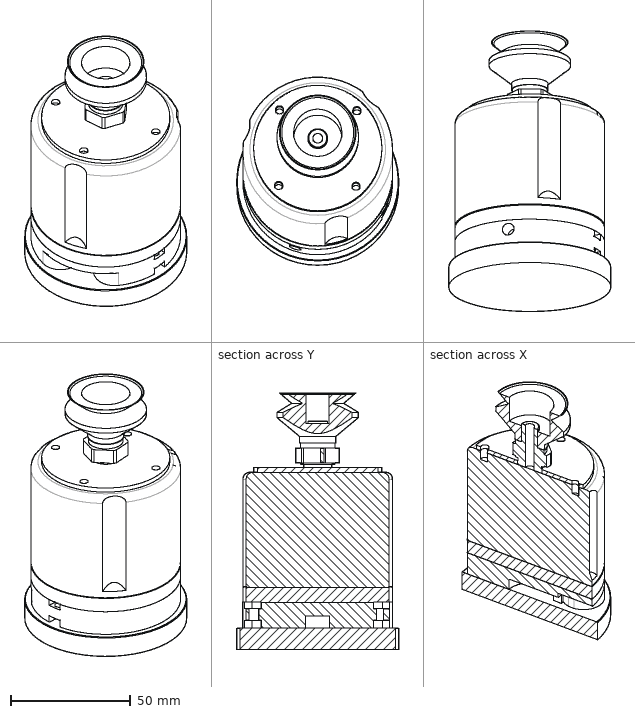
import cadquery as cq
import math

body_radius = 31.4
clocking = -1.6
front_angle = clocking - 90

base_top = 9.1
lower_body_top = 19.9
ring_top = 26.2
housing_top = 74.4
cap_top = 76.3
edge_break = 0.3

base_radius = 34.0

window_top = 16.1
hub_radius = 14.3
boss_radius = 8.9
boss_circle_radius = body_radius - boss_radius
boss_half_angle = 33.4
core_bore_radius = 10.2
core_bore_top = 14.1
channel_width = 7.1

screw_slot_width = 6.1
screw_hole_dia = 4.0
screw_circle_radius = 28.2
screw_half_angle = 70
screw_flange_bottom = 12.3
screw_flange_top = 17.2

side_port_dia = 5.0
side_port_height = 15.9
side_port_depth = 8.6
side_port_angle = front_angle - 152

housing_fillet = 3.0
groove_count = 3
groove_radius = 11.3
groove_axis_radius = 41.2
groove_bottom = 29.5
groove_end_rise = 3.5

cap_radius = 26.9
cap_hole_count = 4
cap_hole_dia = 3.4
cap_hole_circle_radius = 22.9
cap_hole_depth = 6.5

stem_radius = 5.9
collar_radius = 7.3
collar_bottom = 77.6
collar_rounding = 0.5
hex_bottom = 78.3
hex_top = 84.4
hex_across_flats = 16.8
hex_corner_dia = 18.7
hex_angle = clocking - 12
neck_top = 86.6
tube_dia = 8.3
tube_radius = tube_dia / 2
tube_chamfer = 0.38
tube_protrusion = 1.1
fitting_bore_dia = 4.1

cup_top = 107.5
cup_neck_radius = 7.6
cup_neck_top = 89.3
bellows_radius = 17.1
bellows_bottom = 97.2
bellows_top = 99.4
waist_radius = 11.0
waist_height = 103.2
lip_radius = 16.0
lip_inner_radius = 15.7
mouth_radius = 15.0
mouth_height = 107.0
cup_bore_radius = 10.1
cup_floor = 94.8


def disc(radius, bottom, top):
    """Solid cylinder on the Z axis between two heights."""
    return cq.Workplane("XY").workplane(offset=bottom).circle(radius).extrude(top - bottom)


def post(distance, angle, dia, bottom, top):
    """Vertical cylinder standing at a polar position."""
    cylinder = cq.Workplane("XY").workplane(offset=bottom).center(distance, 0).circle(dia / 2)
    return cylinder.extrude(top - bottom).rotate((0, 0, 0), (0, 0, 1), angle)


def radial_bar(width, length, angle, bottom, top):
    """Rectangular bar running outward from the Z axis."""
    bar = cq.Workplane("XY").workplane(offset=bottom).center(length / 2, 0).rect(length, width)
    return bar.extrude(top - bottom).rotate((0, 0, 0), (0, 0, 1), angle)


def make_base_plate():
    return disc(base_radius, 0, base_top).faces(">Z").edges().chamfer(edge_break)


def access_window():
    """Wedge between the hub and the outer wall, closed on each side by a round boss."""
    reach = 2 * body_radius
    boss_angle = math.radians(boss_half_angle)
    far_x = reach * math.cos(boss_angle)
    far_y = reach * math.sin(boss_angle)
    wedge = cq.Workplane("XY").workplane(offset=base_top)
    wedge = wedge.polyline([(0, 0), (far_x, -far_y), (far_x, far_y)]).close()
    wedge = wedge.extrude(window_top - base_top).cut(disc(hub_radius, base_top, window_top))
    for side in (-1, 1):
        boss = post(boss_circle_radius, side * boss_half_angle, 2 * boss_radius, base_top, window_top)
        wedge = wedge.cut(boss)
    return wedge.rotate((0, 0, 0), (0, 0, 1), front_angle)


def screw_slot(angle, bottom, top):
    """Round-ended slot, open to the outer wall, that gives room for a screw."""
    outer_length = 2 * body_radius
    slot = radial_bar(screw_slot_width, outer_length, angle, bottom, top)
    slot = slot.cut(disc(screw_circle_radius, bottom, top))
    return slot.union(post(screw_circle_radius, angle, screw_slot_width, bottom, top))


def side_port():
    port = cq.Workplane("YZ").workplane(offset=body_radius - side_port_depth)
    port = port.center(0, side_port_height).circle(side_port_dia / 2).extrude(2 * side_port_depth)
    return port.rotate((0, 0, 0), (0, 0, 1), side_port_angle)


def make_lower_body():
    body = disc(body_radius, base_top, lower_body_top)
    body = body.cut(access_window())
    body = body.cut(disc(core_bore_radius, base_top, core_bore_top))
    body = body.cut(radial_bar(channel_width, body_radius, front_angle, base_top, core_bore_top))
    for side in (-1, 1):
        angle = front_angle + side * screw_half_angle
        body = body.cut(screw_slot(angle, base_top, screw_flange_bottom))
        body = body.cut(screw_slot(angle, screw_flange_top, lower_body_top))
        body = body.cut(post(screw_circle_radius, angle, screw_hole_dia, base_top, lower_body_top))
    return body.cut(side_port())


def make_ring():
    return disc(body_radius, lower_body_top, ring_top)


def cap_holes():
    holes = cq.Workplane("XY").workplane(offset=cap_top - cap_hole_depth)
    holes = holes.polarArray(cap_hole_circle_radius, clocking, 360, cap_hole_count)
    return holes.circle(cap_hole_dia / 2).extrude(cap_hole_depth)


def groove_cutters():
    """Vertical scallops whose lower ends slope down to the outer wall."""
    cutter = post(groove_axis_radius, 0, 2 * groove_radius, groove_bottom, housing_top)
    groove_floor_radius = groove_axis_radius - groove_radius
    slope = (
        cq.Workplane("XZ")
        .moveTo(0, groove_bottom)
        .lineTo(body_radius, groove_bottom)
        .lineTo(groove_floor_radius, groove_bottom + groove_end_rise)
        .lineTo(0, groove_bottom + groove_end_rise)
        .close()
        .revolve(360, (0, 0, 0), (0, 1, 0))
    )
    cutter = cutter.cut(slope)
    step = 360 / groove_count
    return [cutter.rotate((0, 0, 0), (0, 0, 1), front_angle + i * step) for i in range(groove_count)]


def make_housing():
    housing = disc(body_radius, ring_top, housing_top)
    housing = housing.faces(">Z").edges().fillet(housing_fillet)
    housing = housing.faces("<Z").edges().chamfer(edge_break)
    for cutter in groove_cutters():
        housing = housing.cut(cutter)
    return housing.cut(cap_holes())


def make_cap():
    cap = disc(cap_radius, housing_top, cap_top)
    cap = cap.cut(disc(stem_radius, housing_top, cap_top))
    return cap.cut(cap_holes())


def make_fitting():
    """Screw-in stem, hexagon, neck and the tube that carries the cup."""
    stem = disc(stem_radius, housing_top, collar_bottom)
    collar = disc(collar_radius, collar_bottom, hex_bottom).faces("<Z").edges().fillet(collar_rounding)
    corner_to_corner = hex_across_flats / math.cos(math.radians(30))
    hexagon = cq.Workplane("XY").workplane(offset=hex_bottom).polygon(6, corner_to_corner)
    hexagon = hexagon.extrude(hex_top - hex_bottom).rotate((0, 0, 0), (0, 0, 1), hex_angle)
    hexagon = hexagon.intersect(disc(hex_corner_dia / 2, hex_bottom, hex_top))
    neck = disc(collar_radius, hex_top, neck_top)
    tube_top = cup_floor + tube_protrusion
    tube = disc(tube_radius, neck_top, tube_top).faces(">Z").edges().chamfer(tube_chamfer)
    fitting = stem.union(collar).union(hexagon).union(neck).union(tube)
    return fitting.cut(disc(fitting_bore_dia / 2, housing_top, tube_top))


def make_cup():
    """Bellows suction cup with a deep round mouth."""
    profile = [
        (tube_radius, neck_top),
        (cup_neck_radius, neck_top),
        (cup_neck_radius, cup_neck_top),
        (bellows_radius, bellows_bottom),
        (bellows_radius, bellows_top),
        (waist_radius, waist_height),
        (lip_radius, cup_top),
        (lip_inner_radius, cup_top),
        (mouth_radius, mouth_height),
        (cup_bore_radius, mouth_height),
        (cup_bore_radius, cup_floor),
        (tube_radius, cup_floor),
    ]
    return cq.Workplane("XZ").polyline(profile).close().revolve(360, (0, 0, 0), (0, 1, 0))


base_plate = make_base_plate()
lower_body = make_lower_body()
ring = make_ring()
housing = make_housing()
cap = make_cap()
fitting = make_fitting()
cup = make_cup()

result = cq.Compound.makeCompound([
    base_plate.val(),
    lower_body.val(),
    ring.val(),
    housing.val(),
    cap.val(),
    fitting.val(),
    cup.val(),
])